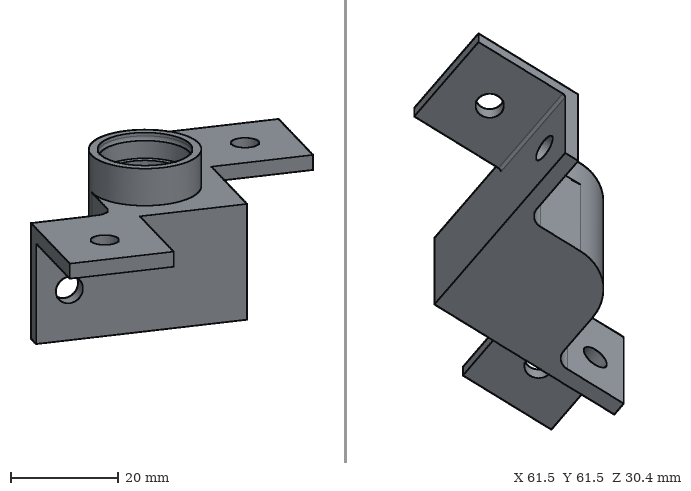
import cadquery as cq

span = 61.5
wall = 3.0
plate_length = 20.0
arm_width = 20.4
body_height = 23.05
total_height = 30.45
boss_radius = 10.5
boss_center = 26.45
blend_radius = 2.8
plate_root_radius = 0.6
hole_diameter = 5.3
wall_hole_offset = 6.6
wall_hole_height = 10.0

mouth_radius = 8.85
seat_depth = 5.05
seat_radius = 8.7
lead_in_top_depth = 0.6
lead_in_bottom_depth = 1.55
relief_radius = 7.5
relief_depth = 7.5
floor_radius = 7.25
bore_depth = 9.0

lead_in_width = mouth_radius - seat_radius
lead_in_height = lead_in_bottom_depth - lead_in_top_depth
lead_in_arc = (lead_in_height**2 + lead_in_width**2) / (2 * lead_in_width)

inner_face = span - plate_length
outer_face = inner_face - wall
body_min = boss_center - boss_radius
hole_near = arm_width / 2
hole_far = span - plate_length / 2


def box(x0, x1, y0, y1, z0, z1):
    return cq.Workplane("XY").box(x1 - x0, y1 - y0, z1 - z0, centered=False).translate((x0, y0, z0))


def vertical_cylinder(x, y, radius, z_bottom, z_top):
    return cq.Workplane("XY", origin=(x, y, z_bottom)).circle(radius).extrude(z_top - z_bottom)


def mirror_across_diagonal(shape):
    """Swap X and Y; the part is symmetric about the plane X = Y."""
    return shape.rotate((0, 0, 0), (0, 0, 1), 90).mirror("YZ")


def make_body():
    """Solid block with one corner rounded concentric with the boss."""
    block = box(body_min, inner_face, body_min, inner_face, 0, body_height)
    boss = vertical_cylinder(boss_center, boss_center, boss_radius, 0, total_height)
    corner = box(body_min, boss_center, body_min, boss_center, 0, body_height)
    return block.cut(corner).union(boss)


def make_arm():
    """Angle-section arm: an upright wall with a horizontal plate on top."""
    profile = (
        cq.Workplane("YZ")
        .moveTo(outer_face, 0)
        .lineTo(inner_face, 0)
        .lineTo(inner_face, body_height - wall - plate_root_radius)
        .radiusArc((inner_face + plate_root_radius, body_height - wall), plate_root_radius)
        .lineTo(span, body_height - wall)
        .lineTo(span, body_height)
        .lineTo(outer_face, body_height)
        .close()
    )
    arm = profile.extrude(arm_width)
    blend = box(body_min - blend_radius, body_min, outer_face - blend_radius, outer_face,
                0, body_height)
    blend = blend.cut(vertical_cylinder(body_min - blend_radius, outer_face - blend_radius,
                                        blend_radius, 0, body_height))
    arm = arm.union(blend)
    plate_hole = vertical_cylinder(hole_near, hole_far, hole_diameter / 2, 0, body_height)
    wall_hole = (
        cq.Workplane("XZ", origin=(wall_hole_offset, inner_face, wall_hole_height))
        .circle(hole_diameter / 2)
        .extrude(wall)
    )
    return arm.cut(plate_hole).cut(wall_hole)


def make_bore():
    """Blind stepped bore with a wider mouth and a concave lead-in to the seat."""
    lead_in_top = total_height - lead_in_top_depth
    lead_in_bottom = total_height - lead_in_bottom_depth
    seat_bottom = total_height - seat_depth
    relief_bottom = total_height - relief_depth
    floor = total_height - bore_depth
    bore = (
        cq.Workplane("XZ")
        .moveTo(0, total_height)
        .lineTo(mouth_radius, total_height)
        .lineTo(mouth_radius, lead_in_top)
        .radiusArc((seat_radius, lead_in_bottom), lead_in_arc)
        .lineTo(seat_radius, seat_bottom)
        .lineTo(relief_radius, seat_bottom)
        .lineTo(relief_radius, relief_bottom)
        .lineTo(floor_radius, relief_bottom)
        .lineTo(floor_radius, floor)
        .lineTo(0, floor)
        .close()
        .revolve(360, (0, 0, 0), (0, 1, 0))
    )
    return bore.translate((boss_center, boss_center, 0))


arm = make_arm()
result = make_body().union(arm).union(mirror_across_diagonal(arm)).cut(make_bore())